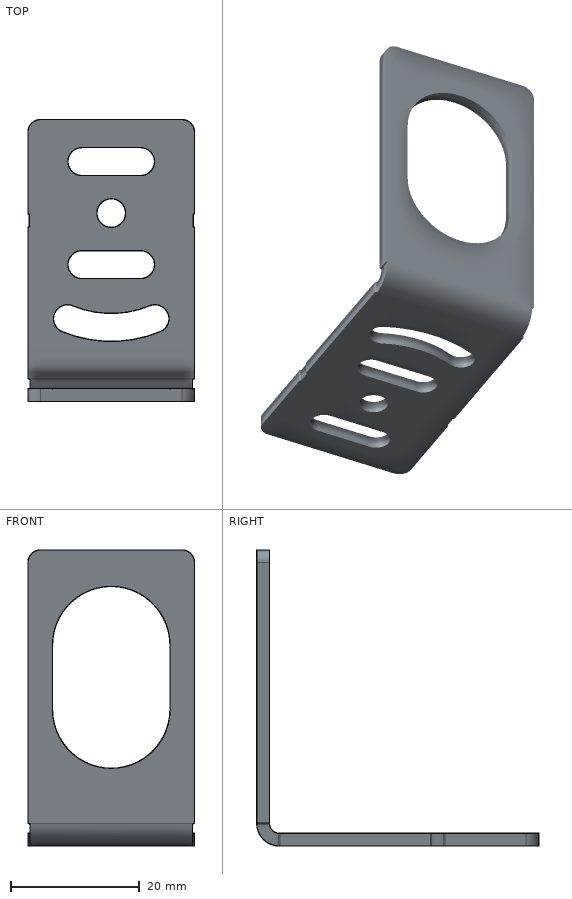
import cadquery as cq
import math

width = 25.9
depth = 43.8
height = 46.0
thickness = 2.0

bend_inner_radius = 1.5
bend_outer_radius = bend_inner_radius + thickness

bend_relief_depth = 0.3

corner_radius = 2.0

window_width = 18.2
window_height = 28.2
window_center_z = 26.2

hole_diameter = 4.4
hole_to_back_edge = 14.55
slot_width = 4.3
slot_length = 13.4
slot_offset = 8.0
arc_slot_radius = 17.75
arc_slot_half_angle = math.radians(22.5)

notch_length = 2.05
notch_depth = 0.2
notch_to_back_edge = 15.7

hole_y = depth - hole_to_back_edge
notch_y = depth - notch_to_back_edge


def make_bent_plate():
    """Full-width L-shaped plate with rounded corners at both free ends."""
    plate = (
        cq.Workplane("YZ")
        .moveTo(bend_outer_radius, 0)
        .lineTo(depth, 0)
        .lineTo(depth, thickness)
        .lineTo(bend_outer_radius, thickness)
        .radiusArc((thickness, bend_outer_radius), bend_inner_radius)
        .lineTo(thickness, height)
        .lineTo(0, height)
        .lineTo(0, bend_outer_radius)
        .radiusArc((bend_outer_radius, 0), -bend_outer_radius)
        .close()
        .extrude(width / 2, both=True)
    )
    plate = plate.edges("|Z and >Y").fillet(corner_radius)
    return plate.edges("|Y and >Z").fillet(corner_radius)


def make_window():
    """Upright obround cutter through the vertical leg."""
    return (
        cq.Workplane("XZ")
        .center(0, window_center_z)
        .slot2D(window_height, window_width, 90)
        .extrude(-thickness)
    )


def make_pivot_hole():
    """Round cutter through the base leg."""
    return cq.Workplane("XY").center(0, hole_y).circle(hole_diameter / 2).extrude(thickness)


def make_straight_slot(center_y):
    """Cutter for a slot running along X."""
    return cq.Workplane("XY").center(0, center_y).slot2D(slot_length, slot_width).extrude(thickness)


def make_arc_slot():
    """Cutter for a slot curved about the pivot hole, with round ends."""
    end_radius = slot_width / 2
    inner_radius = arc_slot_radius - end_radius
    outer_radius = arc_slot_radius + end_radius

    def point(radius, angle):
        return (radius * math.sin(angle), hole_y - radius * math.cos(angle))

    inner_left = point(inner_radius, -arc_slot_half_angle)
    inner_right = point(inner_radius, arc_slot_half_angle)
    outer_left = point(outer_radius, -arc_slot_half_angle)
    outer_right = point(outer_radius, arc_slot_half_angle)
    return (
        cq.Workplane("XY")
        .moveTo(*inner_left)
        .threePointArc(point(inner_radius, 0), inner_right)
        .tangentArcPoint(outer_right, relative=False)
        .threePointArc(point(outer_radius, 0), outer_left)
        .tangentArcPoint(inner_left, relative=False)
        .close()
        .extrude(thickness)
    )


def make_edge_recess(plane, center, length, recess_depth, extrusion):
    """Cutter for a recess in the right-hand side edge, with an S-curved wall at each end.

    Each wall is a rounded outer corner running into a rounded inner corner.
    """
    radius = recess_depth / 2
    edge_x = width / 2
    middle_x = edge_x - radius
    floor_x = edge_x - recess_depth
    low = center - length / 2
    high = center + length / 2
    return (
        cq.Workplane(plane)
        .moveTo(edge_x, low - radius)
        .radiusArc((middle_x, low), -radius)
        .radiusArc((floor_x, low + radius), radius)
        .lineTo(floor_x, high - radius)
        .radiusArc((middle_x, high), radius)
        .radiusArc((edge_x, high + radius), -radius)
        .close()
        .extrude(extrusion)
    )


def make_edge_notch():
    """Cutter for the notch in the right-hand edge of the base leg."""
    return make_edge_recess("XY", notch_y, notch_length, notch_depth, thickness)


def make_bend_relief():
    """Cutter that narrows the right-hand side of the bend, ending where each leg starts."""
    reach = bend_outer_radius + bend_relief_depth
    length = 2 * bend_outer_radius
    along_base = make_edge_recess("XY", 0, length, bend_relief_depth, reach)
    along_upright = make_edge_recess("XZ", 0, length, bend_relief_depth, -reach)
    return along_base.intersect(along_upright)


result = make_bent_plate()
result = result.cut(make_window()).cut(make_pivot_hole()).cut(make_arc_slot())

for slot_side in (-1, 1):
    result = result.cut(make_straight_slot(hole_y + slot_side * slot_offset))

for edge_cutter in (make_edge_notch(), make_bend_relief()):
    result = result.cut(edge_cutter).cut(edge_cutter.mirror("YZ"))